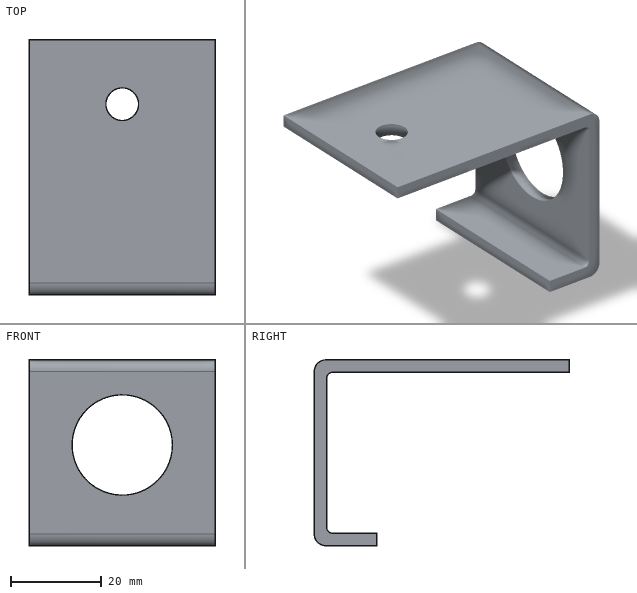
import cadquery as cq

width = 41.3
depth = 56.65
height = 41.3

thickness = 2.85
inner_radius = 1.25
outer_radius = 2.65
lip_length = 13.95

front_hole_diameter = 22.2
front_hole_height = 22.35
top_hole_diameter = 7.2
top_hole_from_back = 14.3

profile = [
    (0, 0),
    (lip_length, 0),
    (lip_length, thickness),
    (thickness, thickness),
    (thickness, height - thickness),
    (depth, height - thickness),
    (depth, height),
    (0, height),
]
bracket = cq.Workplane("YZ").polyline(profile).close().extrude(width / 2, both=True)


def round_bends(body, y, radius):
    """Round the two bend edges that run along X at depth y."""
    bend_heights = (0, height) if y == 0 else (y, height - y)
    for z in bend_heights:
        edge = cq.selectors.NearestToPointSelector((0, y, z))
        body = body.edges("|X").edges(edge).fillet(radius)
    return body


bracket = round_bends(bracket, 0, outer_radius)
bracket = round_bends(bracket, thickness, inner_radius)

front_hole = (
    cq.Workplane("XZ", origin=(0, 0, front_hole_height))
    .circle(front_hole_diameter / 2)
    .extrude(-thickness)
)

top_hole = (
    cq.Workplane("XY", origin=(0, depth - top_hole_from_back, height - thickness))
    .circle(top_hole_diameter / 2)
    .extrude(thickness)
)

result = bracket.cut(front_hole).cut(top_hole)